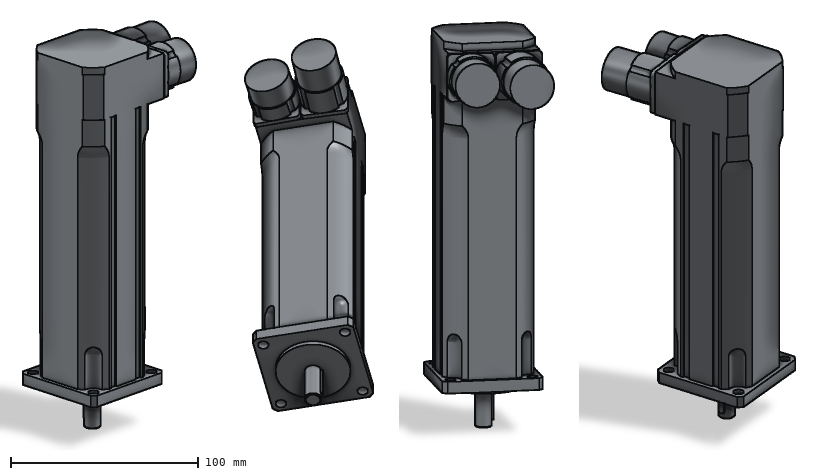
import cadquery as cq
import math

total_height = 215.0
pilot_bottom = 22.0
flange_bottom = 24.5
flange_top = 31.0
corner_step_z = 163.0
block_bottom = 185.1
block_top = 211.0
connector_z = (block_bottom + block_top) / 2

flange_width = 55.0
flange_corner_radius = 37.2
pilot_diameter = 40.0
shaft_diameter = 9.0
shaft_chamfer = 0.6
key_width = 3.0
key_bottom = 3.5
key_top = 21.5
key_reach = 5.4
bolt_offset = 22.4
bolt_hole_diameter = 5.5
bolt_head_radius = 6.0
bolt_head_top = 50.3

body_width = 49.9
upper_corner_radius = 29.9
lower_corner_radius = 28.2
runout_radius = 15.0
groove_width = 4.0
groove_offset = 9.5
groove_depth = 1.0

block_chamfer = 7.7
block_back_y = 30.0
splay_angle = 1.8

plate_width = 25.4
plate_thickness = 2.5
plate_corner_radius = 2.2
barrel_diameter = 24.0
collar_diameter = 26.0
notch_radius = 2.4
notch_count = 4
first_notch_angle = 45.0
large_collar_end = 17.6
large_length = 33.8
small_collar_end = 11.5
small_length = 24.0

half_body = body_width / 2
plate_height = block_top - block_bottom
connector_x = collar_diameter / 2
splay_slope = math.tan(math.radians(splay_angle))


def rounded_square_bar(width, corner_radius, z_bottom, z_top):
    """Square bar whose corners are turned to a radius about the motor axis."""
    height = z_top - z_bottom
    square = cq.Workplane("XY").workplane(offset=z_bottom).rect(width, width).extrude(height)
    round_bar = cq.Workplane("XY").workplane(offset=z_bottom).circle(corner_radius).extrude(height)
    return square.intersect(round_bar)


def make_corner_relief():
    """Ring that turns the tube corners down and runs out in a concave arc."""
    depth = upper_corner_radius - lower_corner_radius
    runout_height = math.sqrt(runout_radius**2 - (runout_radius - depth)**2)
    mid_height = runout_height / 2
    mid_depth = runout_radius - math.sqrt(runout_radius**2 - mid_height**2)
    outer_radius = body_width
    return (
        cq.Workplane("XZ")
        .moveTo(lower_corner_radius, flange_top)
        .lineTo(lower_corner_radius, corner_step_z)
        .threePointArc(
            (lower_corner_radius + mid_depth, corner_step_z + mid_height),
            (upper_corner_radius, corner_step_z + runout_height),
        )
        .lineTo(outer_radius, corner_step_z + runout_height)
        .lineTo(outer_radius, flange_top)
        .close()
        .revolve(360, (0, 0, 0), (0, 1, 0))
    )


def make_bolt_cutter():
    """Through hole in the flange and round-ended head pocket in the tube corner."""
    hole = (
        cq.Workplane("XY").workplane(offset=flange_bottom)
        .circle(bolt_hole_diameter / 2).extrude(flange_top - flange_bottom)
    )
    pocket = (
        cq.Workplane("XY").workplane(offset=flange_top)
        .circle(bolt_head_radius).extrude(bolt_head_top - flange_top)
    )
    ball = cq.Workplane("XY").sphere(bolt_head_radius).translate((0, 0, bolt_head_top))
    return hole.union(pocket).union(ball)


def make_side_grooves():
    """Two shallow vertical grooves in each of the -X and +X faces."""
    height = block_bottom - flange_top
    centres = [(x, y) for x in (-half_body, half_body) for y in (-groove_offset, groove_offset)]
    return (
        cq.Workplane("XY").workplane(offset=flange_top)
        .pushPoints(centres).rect(2 * groove_depth, groove_width).extrude(height)
    )


def make_block():
    """Connector block with chamfered front corners and a slightly ridged back."""
    back_edge_y = block_back_y - half_body * splay_slope
    return (
        cq.Workplane("XY").workplane(offset=block_bottom)
        .moveTo(-half_body + block_chamfer, -half_body)
        .lineTo(half_body - block_chamfer, -half_body)
        .lineTo(half_body, -half_body + block_chamfer)
        .lineTo(half_body, back_edge_y)
        .lineTo(0, block_back_y)
        .lineTo(-half_body, back_edge_y)
        .lineTo(-half_body, -half_body + block_chamfer)
        .close()
        .extrude(block_top - block_bottom)
    )


def make_shaft():
    """Shaft with a chamfered tip and a round-ended key on its -X side."""
    shaft = (
        cq.Workplane("XY").circle(shaft_diameter / 2).extrude(pilot_bottom)
        .faces("<Z").chamfer(shaft_chamfer)
    )
    key_middle = (key_bottom + key_top) / 2
    key = (
        cq.Workplane("YZ").center(0, key_middle)
        .slot2D(key_top - key_bottom, key_width, 90).extrude(-key_reach)
    )
    return shaft.union(key)


def make_motor():
    """Shaft, pilot, flange, tube and connector block in one piece."""
    tube_bottom = rounded_square_bar(body_width, upper_corner_radius, flange_top, block_bottom)
    tube = tube_bottom.cut(make_corner_relief()).cut(make_side_grooves())
    cap = rounded_square_bar(body_width, upper_corner_radius, block_top, total_height)
    flange = rounded_square_bar(flange_width, flange_corner_radius, flange_bottom, flange_top)
    pilot = (
        cq.Workplane("XY").workplane(offset=pilot_bottom)
        .circle(pilot_diameter / 2).extrude(flange_bottom - pilot_bottom)
    )
    motor = tube.union(make_block()).union(cap).union(flange).union(pilot).union(make_shaft())
    bolt_cutter = make_bolt_cutter()
    for x in (-bolt_offset, bolt_offset):
        for y in (-bolt_offset, bolt_offset):
            motor = motor.cut(bolt_cutter.translate((x, y, 0)))
    return motor


def make_connector(side, collar_end, length):
    """Plate, notched collar and barrel; side is -1 for the -X half, +1 for the +X half."""
    base = cq.Plane(
        origin=(side * connector_x, block_back_y - connector_x * splay_slope, connector_z),
        xDir=(1, -side * splay_slope, 0),
        normal=(side * splay_slope, 1, 0),
    )
    plate = (
        cq.Workplane(base).rect(plate_width, plate_height).extrude(plate_thickness)
        .edges(cq.selectors.ParallelDirSelector(base.zDir)).fillet(plate_corner_radius)
    )
    notch_centre_radius = barrel_diameter / 2 + notch_radius
    notches = (
        cq.Workplane(base).workplane(offset=plate_thickness)
        .polarArray(notch_centre_radius, first_notch_angle, 360, notch_count)
        .circle(notch_radius).extrude(collar_end - plate_thickness)
    )
    collar = (
        cq.Workplane(base).workplane(offset=plate_thickness)
        .circle(collar_diameter / 2).extrude(collar_end - plate_thickness)
        .cut(notches)
    )
    barrel = cq.Workplane(base).circle(barrel_diameter / 2).extrude(length)
    return plate.union(collar).union(barrel)


motor = make_motor()
large_connector = make_connector(-1, large_collar_end, large_length)
small_connector = make_connector(1, small_collar_end, small_length)

bodies = [motor, large_connector, small_connector]
result = cq.Compound.makeCompound([body.solids().val() for body in bodies])